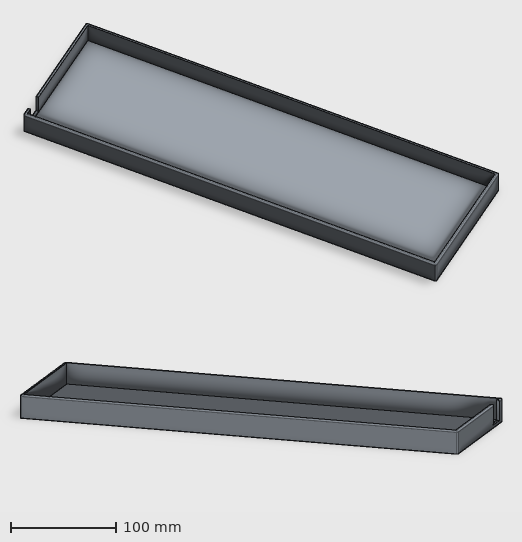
import cadquery as cq

length = 439.0
width = 134.5
height = 23.0

wall_thickness = 3.0
floor_thickness = 2.0
edge_radius = 1.5

notch_width = 17.5
notch_edge_distance = 9.0
sill_height = 3.0


def make_shell():
    """Open tray with rounded outer corners and a rounded outer rim."""
    block = cq.Workplane("XY").box(length, width, height, centered=(True, True, False))
    rounded = block.edges("|Z or >Z").fillet(edge_radius)
    cavity = (
        cq.Workplane("XY")
        .workplane(offset=floor_thickness)
        .rect(length - 2 * wall_thickness, width - 2 * wall_thickness)
        .extrude(height)
    )
    return rounded.cut(cavity)


def make_notch():
    """Cutter for the end-wall notch, reaching past both faces of the wall."""
    notch_center_y = -width / 2 + notch_edge_distance + notch_width / 2
    return (
        cq.Workplane("XY")
        .workplane(offset=sill_height)
        .center(-length / 2, notch_center_y)
        .rect(4 * wall_thickness, notch_width)
        .extrude(height)
    )


result = make_shell().cut(make_notch())